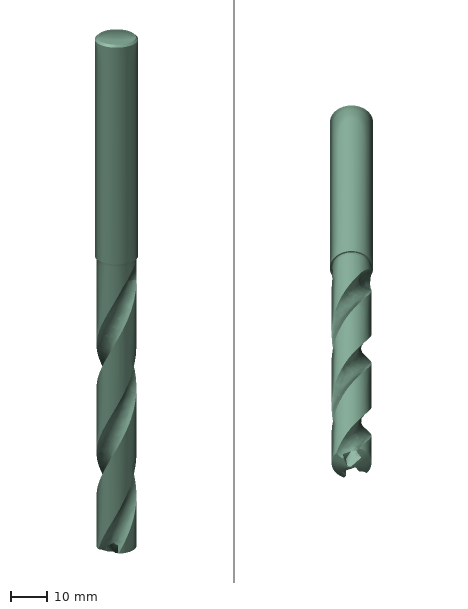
import cadquery as cq
import math

total_length = 156.0
shank_diameter = 12.0
shank_chamfer = 0.6
step_height = 89.9
joint_height = 66.8
cutting_diameter = 11.0
point_angle = 137.0

flute_count = 2
flute_pitch = 65.2
flute_radius = 3.7
flute_offset = 6.4
flute_angle_at_joint = 99.0
flute_end_height = 82.5
runout_height = 6.5
runout_lift = 2.3

gash_peak_height = 5.0
gash_peak_x = 2.2
gash_left_x = -1.0
gash_left_height = 2.7
gash_right_x = 4.0
gash_peak_depth = 2.8
gash_tip_depth = 0.3

cutting_radius = cutting_diameter / 2
point_height = cutting_radius / math.tan(math.radians(point_angle / 2))
flute_spacing = 360 / flute_count
flute_angles = [flute_angle_at_joint + i * flute_spacing for i in range(flute_count)]


def twist_over(height):
    """Helix turn, in degrees, over an axial height."""
    return 360 * height / flute_pitch


def helical_flute(angle, bottom, top):
    """Groove between two heights; angle is its direction at the joint height."""
    return (
        cq.Workplane("XY")
        .pushPoints([(flute_offset, 0)])
        .circle(flute_radius)
        .twistExtrude(top - bottom, twist_over(top - bottom))
        .rotate((0, 0, 0), (0, 0, 1), angle + twist_over(bottom - joint_height))
        .translate((0, 0, bottom))
    )


def flute_runout(angle):
    """Straight end of a groove, leaving along the helix tangent while rising out of the drill."""
    tangent_run = 2 * math.pi * flute_offset * runout_height / flute_pitch
    return (
        cq.Workplane("XY", origin=(0, 0, flute_end_height))
        .pushPoints([(flute_offset, 0)])
        .circle(flute_radius)
        .workplane(offset=runout_height)
        .pushPoints([(flute_offset + runout_lift, tangent_run)])
        .circle(flute_radius)
        .loft(ruled=True)
        .rotate((0, 0, 0), (0, 0, 1), angle + twist_over(flute_end_height - joint_height))
    )


def gash():
    """Notch on the -Y side: an outline cut along Y, bounded by a face leaning towards the axis."""
    outline = (
        cq.Workplane("XZ")
        .polyline([
            (gash_left_x, 0),
            (gash_left_x, gash_left_height),
            (gash_peak_x, gash_peak_height),
            (gash_right_x, 0),
        ])
        .close()
        .extrude(shank_diameter)
    )
    side_profile = (
        cq.Workplane("YZ", origin=(gash_left_x, 0, 0))
        .polyline([
            (-gash_tip_depth, 0),
            (-gash_peak_depth, gash_peak_height),
            (-shank_diameter, gash_peak_height),
            (-shank_diameter, 0),
        ])
        .close()
        .extrude(gash_right_x - gash_left_x)
    )
    return outline.intersect(side_profile)


def shank_body():
    """Plain shank with the upper fluted length below its shoulder."""
    shank = (
        cq.Workplane("XY", origin=(0, 0, step_height))
        .circle(shank_diameter / 2)
        .extrude(total_length - step_height)
        .faces(">Z")
        .chamfer(shank_chamfer)
    )
    neck = (
        cq.Workplane("XY", origin=(0, 0, joint_height))
        .circle(cutting_radius)
        .extrude(step_height - joint_height)
    )
    for angle in flute_angles:
        neck = neck.cut(helical_flute(angle, joint_height, flute_end_height))
        neck = neck.cut(flute_runout(angle))
    return shank.union(neck)


def cutting_body():
    """Lower fluted length ending in the conical point."""
    body = (
        cq.Workplane("XZ")
        .polyline([(0, 0), (cutting_radius, point_height), (cutting_radius, joint_height), (0, joint_height)])
        .close()
        .revolve(360, (0, 0, 0), (0, 1, 0))
    )
    for angle in flute_angles:
        body = body.cut(helical_flute(angle, 0, joint_height))
    for i in range(flute_count):
        body = body.cut(gash().rotate((0, 0, 0), (0, 0, 1), i * flute_spacing))
    return body


shank_part = shank_body()
cutting_part = cutting_body()
result = cq.Compound.makeCompound([shank_part.val(), cutting_part.val()])